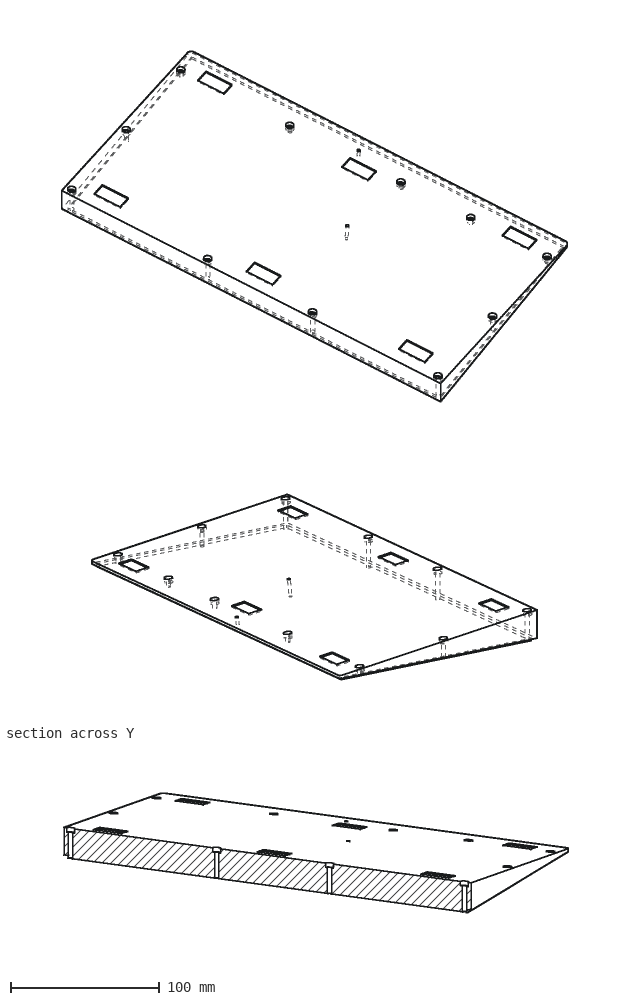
import cadquery as cq
import math

LENGTH = 303.6
WIDTH = 159.53
HEIGHT = 22.04
LIP_HEIGHT = 2.0
LIP_INSET = 3.0
THIN_EDGE_HEIGHT = 4.0
CORNER_RADIUS = 3.0

SCREW_DIAMETER = 2.9
COUNTERBORE_DIAMETER = 5.6
COUNTERBORE_DEPTH = 3.0
SCREW_EDGE_DISTANCE = 5.0
SCREW_ROW_FRONT = -WIDTH / 2 + SCREW_EDGE_DISTANCE
SCREW_ROW_BACK = 60.7
SCREW_ROW_MIDDLE = (SCREW_ROW_FRONT + SCREW_ROW_BACK) / 2
SCREW_COLUMN_OUTER = 146.7
SCREW_PATTERN_CENTER_X = -0.2
FRONT_INNER_SCREWS_X = (-38.0, 46.0)
BACK_INNER_SCREWS_X = (-59.6, 29.4, 85.4)

ACCESS_DIAMETER = 2.0
ACCESS_POSITIONS = ((-9.4, 68.4), (22.0, 5.6))

FOOT_LENGTH = 20.8
FOOT_WIDTH = 10.3
FOOT_DEPTH = 1.0
FOOT_COLUMN = 122.0
FOOT_ROW = 64.35
FOOT_BACK_MIDDLE_Y = 54.2

SLOPE = (HEIGHT - THIN_EDGE_HEIGHT) / WIDTH
SLOPE_ANGLE = math.degrees(math.atan(SLOPE))


def top_height(y):
    """Height of the sloping face at a given Y."""
    return HEIGHT - SLOPE * (y + WIDTH / 2)


def screw_positions():
    """Centres of all screw holes."""
    outer = [
        (SCREW_PATTERN_CENTER_X + side * SCREW_COLUMN_OUTER, y)
        for side in (-1, 1)
        for y in (SCREW_ROW_FRONT, SCREW_ROW_MIDDLE, SCREW_ROW_BACK)
    ]
    front = [(x, SCREW_ROW_FRONT) for x in FRONT_INNER_SCREWS_X]
    back = [(x, SCREW_ROW_BACK) for x in BACK_INNER_SCREWS_X]
    return outer + front + back


def foot_positions():
    """Centres of all foot pockets."""
    corners = [(sx * FOOT_COLUMN, sy * FOOT_ROW) for sx in (-1, 1) for sy in (-1, 1)]
    return corners + [(0, -FOOT_ROW), (0, FOOT_BACK_MIDDLE_Y)]


def wedge():
    """Main body above the lip."""
    profile = [
        (-WIDTH / 2, LIP_HEIGHT),
        (WIDTH / 2, LIP_HEIGHT),
        (WIDTH / 2, THIN_EDGE_HEIGHT),
        (-WIDTH / 2, HEIGHT),
    ]
    body = cq.Workplane("YZ").polyline(profile).close().extrude(LENGTH / 2, both=True)
    return body.edges("|Z and >Y").fillet(CORNER_RADIUS)


def lip():
    """Inset step under the body."""
    return cq.Workplane("XY").box(
        LENGTH - 2 * LIP_INSET,
        WIDTH - 2 * LIP_INSET,
        LIP_HEIGHT,
        centered=(True, True, False),
    )


def through_holes(positions, diameter):
    """Vertical cylinders running through the full height."""
    return cq.Workplane("XY").pushPoints(positions).circle(diameter / 2).extrude(HEIGHT)


def on_slope(tool, x, y):
    """Place a tool modelled about the origin onto the sloping face, square to it."""
    return tool.rotate((0, 0, 0), (1, 0, 0), -SLOPE_ANGLE).translate((x, y, top_height(y)))


def counterbore():
    """Cylinder reaching equally below and above the origin."""
    return cq.Workplane("XY").circle(COUNTERBORE_DIAMETER / 2).extrude(COUNTERBORE_DEPTH, both=True)


def access_hole():
    """Cylinder reaching equally below and above the origin, longer than the case is tall."""
    return cq.Workplane("XY").circle(ACCESS_DIAMETER / 2).extrude(HEIGHT, both=True)


def foot_pocket():
    """Block reaching equally below and above the origin."""
    return cq.Workplane("XY").box(FOOT_LENGTH, FOOT_WIDTH, 2 * FOOT_DEPTH)


result = wedge().union(lip())
result = result.cut(through_holes(screw_positions(), SCREW_DIAMETER))
for access_x, access_y in ACCESS_POSITIONS:
    result = result.cut(on_slope(access_hole(), access_x, access_y))
for screw_x, screw_y in screw_positions():
    result = result.cut(on_slope(counterbore(), screw_x, screw_y))
for foot_x, foot_y in foot_positions():
    result = result.cut(on_slope(foot_pocket(), foot_x, foot_y))